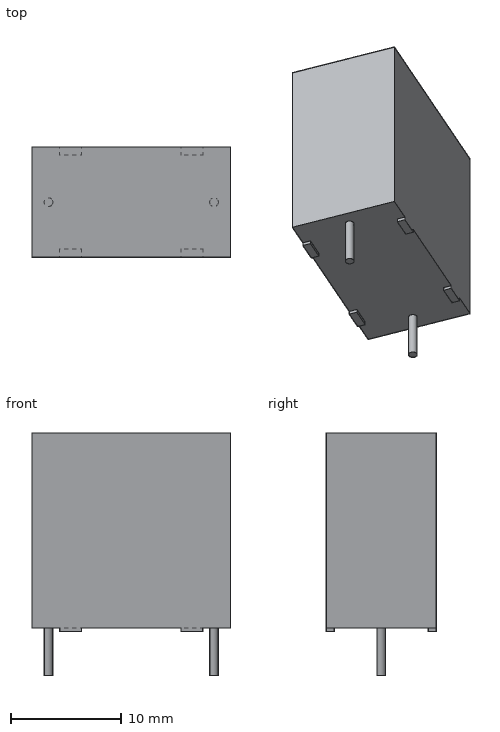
import cadquery as cq

body_length = 18.0
body_width = 10.0
total_height = 22

pin_length = 4.3
pin_diameter = 0.8
pin_pitch = 15.0
pin_embedding = 0.22

foot_length = 2.0
foot_width = 0.75
foot_height = 0.3
foot_pitch_x = 11.0

body_height = total_height - pin_length
foot_pitch_y = body_width - foot_width


def make_body():
    """Rectangular case with its underside at Z = 0."""
    return cq.Workplane("XY").rect(body_length, body_width).extrude(body_height)


def make_feet():
    """Four standoff feet under the case, flush with its front and back faces."""
    return (
        cq.Workplane("XY")
        .rarray(foot_pitch_x, foot_pitch_y, 2, 2)
        .rect(foot_length, foot_width)
        .extrude(-foot_height)
    )


def make_pins():
    """Two round leads on the centre line, sunk slightly into the case."""
    return (
        cq.Workplane("XY", origin=(0, 0, -pin_length))
        .pushPoints([(-pin_pitch / 2, 0), (pin_pitch / 2, 0)])
        .circle(pin_diameter / 2)
        .extrude(pin_length + pin_embedding)
    )


result = make_body().union(make_feet()).union(make_pins())